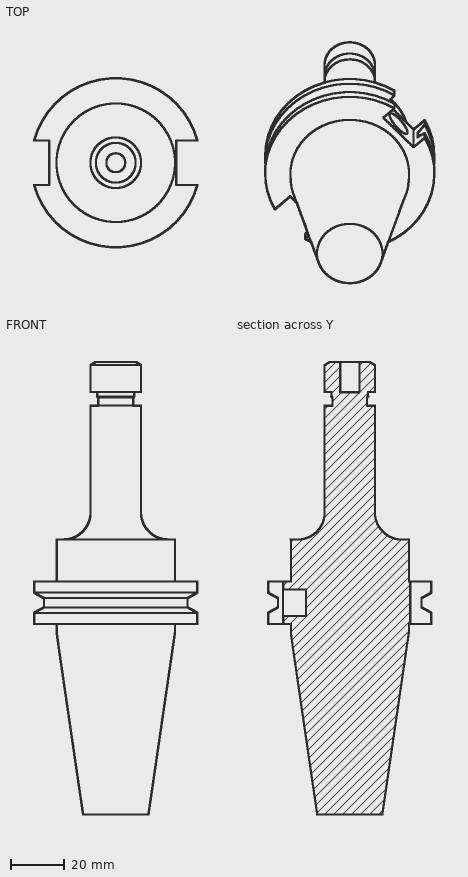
import cadquery as cq
import math

total_length = 169.8

gauge_plane_z = 68.3
gauge_radius = 22.3
taper_ratio = 7 / 24
taper_end_radius = gauge_radius - gauge_plane_z * taper_ratio / 2

flange_radius = 31.8
flange_bottom_z = gauge_plane_z + 3.2
flange_thickness = 16.0
flange_top_z = flange_bottom_z + flange_thickness
flange_middle_z = flange_bottom_z + flange_thickness / 2
groove_center_z = 79.5
groove_floor_radius = 28.2
groove_floor_width = 3.4
groove_flank_angle = math.radians(30)
groove_floor_half = groove_floor_width / 2
groove_mouth_half = groove_floor_half + (flange_radius - groove_floor_radius) * math.tan(groove_flank_angle)

slot_width = 16.6
left_slot_floor = 25.0
right_slot_floor = 22.8
slot_hole_radius = 5.0
slot_hole_depth = 8.5

collar_top_z = 103.3
stem_radius = 9.5
stem_top_z = 153.4
stem_fillet = 10.0

neck_radius = 6.6
shoulder_radius = 7.0
neck_top_z = 156.5
shoulder_bottom_z = 156.8
head_bottom_z = 158.5
head_chamfer_width = 2.0
head_chamfer_height = 1.2
head_hole_radius = 3.5
head_hole_depth = total_length - head_bottom_z


def turned_body():
    """Revolve the half outline, drawn as (radius, height), about Z."""
    fillet_mid_offset = stem_fillet * (1 - math.sqrt(0.5))
    outline = (
        cq.Workplane("XZ")
        .moveTo(0, 0)
        .lineTo(taper_end_radius, 0)
        .lineTo(gauge_radius, gauge_plane_z)
        .lineTo(gauge_radius, flange_bottom_z)
        .lineTo(flange_radius, flange_bottom_z)
        .lineTo(flange_radius, groove_center_z - groove_mouth_half)
        .lineTo(groove_floor_radius, groove_center_z - groove_floor_half)
        .lineTo(groove_floor_radius, groove_center_z + groove_floor_half)
        .lineTo(flange_radius, groove_center_z + groove_mouth_half)
        .lineTo(flange_radius, flange_top_z)
        .lineTo(gauge_radius, flange_top_z)
        .lineTo(gauge_radius, collar_top_z)
        .lineTo(stem_radius + stem_fillet, collar_top_z)
        .threePointArc(
            (stem_radius + fillet_mid_offset, collar_top_z + fillet_mid_offset),
            (stem_radius, collar_top_z + stem_fillet),
        )
        .lineTo(stem_radius, stem_top_z)
        .lineTo(neck_radius, stem_top_z)
        .lineTo(neck_radius, neck_top_z)
        .lineTo(shoulder_radius, shoulder_bottom_z)
        .lineTo(shoulder_radius, head_bottom_z)
        .lineTo(stem_radius, head_bottom_z)
        .lineTo(stem_radius, total_length - head_chamfer_height)
        .lineTo(stem_radius - head_chamfer_width, total_length)
        .lineTo(0, total_length)
        .close()
    )
    return outline.revolve(360, (0, 0, 0), (0, 1, 0))


def drive_slot(side, floor_distance):
    """Cutter for one slot through the flange; side is -1 or +1 along X."""
    slot_depth = flange_radius - floor_distance
    slot_center_x = side * (floor_distance + slot_depth / 2)
    return (
        cq.Workplane("XY")
        .box(slot_depth, slot_width, flange_thickness)
        .translate((slot_center_x, 0, flange_middle_z))
    )


def slot_hole():
    """Blind round hole in the floor of the -X slot."""
    return (
        cq.Workplane("YZ", origin=(-left_slot_floor, 0, flange_middle_z))
        .circle(slot_hole_radius)
        .extrude(slot_hole_depth)
    )


def head_hole():
    """Blind hole in the end of the head."""
    return (
        cq.Workplane("XY", origin=(0, 0, total_length))
        .circle(head_hole_radius)
        .extrude(-head_hole_depth)
    )


result = (
    turned_body()
    .cut(drive_slot(-1, left_slot_floor))
    .cut(drive_slot(1, right_slot_floor))
    .cut(slot_hole())
    .cut(head_hole())
)